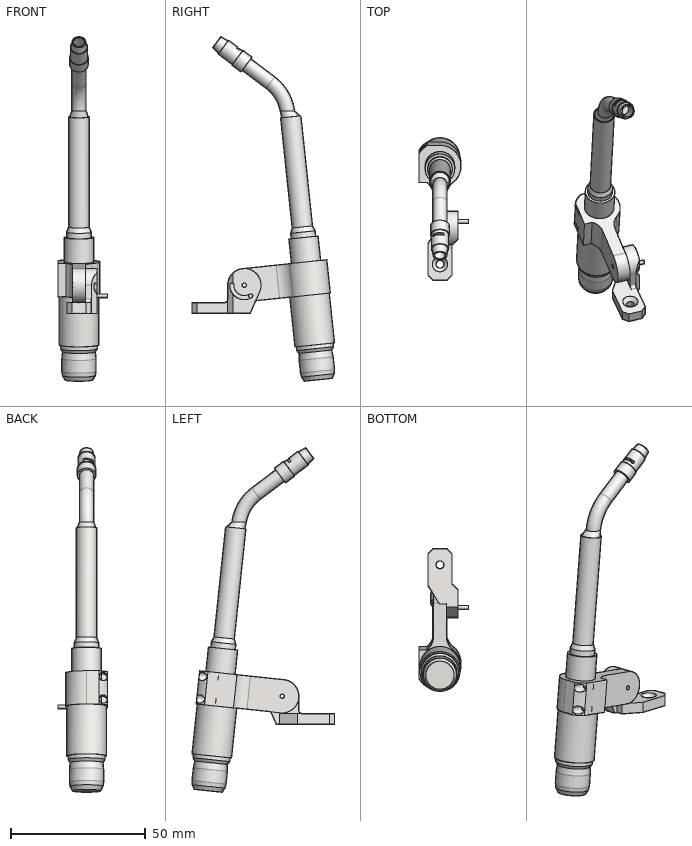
import cadquery as cq
import math

TILT = 6.0

CONNECTOR_LENGTH = 13.1
CONNECTOR_FOOT_RADIUS = 5.3
CONNECTOR_FOOT_HEIGHT = 1.7
CONNECTOR_NECK_RADIUS = 6.2
CONNECTOR_GRIP_BOTTOM = 3.2
CONNECTOR_GRIP_TOP = 8.0
CONNECTOR_GRIP_RADIUS = 6.4
CONNECTOR_CONE_BOTTOM = 10.5
CONNECTOR_FLANGE_BOTTOM = 11.7
CONNECTOR_FLANGE_RADIUS = 6.9

HANDLE_RADIUS = 7.5
HANDLE_WAIST_RADIUS = 5.5
HANDLE_TOP = 53.3

TUBE_RADIUS = 3.9
TUBE_TOP = 98.5
TUBE_COLLAR_RADIUS = 4.6
TUBE_COLLAR_TOP = 55.3
TUBE_CONE_TOP = 57.3

NECK_RADIUS = 2.7
NECK_FOOT_RADIUS = 3.5
NECK_TAPER_END = (-11.5, 100.1)
NECK_BEND_RADIUS = 16.3
NECK_BEND_END = (-17.8, 110.7)
NECK_END_ANGLE = 53.0
NECK_STRAIGHT_LENGTH = 11.2

NOZZLE_COLLAR_RADIUS = 3.5
NOZZLE_COLLAR_LENGTH = 4.2
NOZZLE_RADIUS = 3.2
NOZZLE_SHOULDER = 10.8
NOZZLE_TIP_BASE_RADIUS = 3.0
NOZZLE_TIP_RADIUS = 2.6
NOZZLE_LENGTH = 13.9
NOZZLE_BORE_RADIUS = 2.0
NOZZLE_BORE_DEPTH = 6.4
NOZZLE_SLOT_CENTRE = 6.0
NOZZLE_SLOT_WIDTH = 0.9
NOZZLE_SLOT_FLOOR = 1.8
NOZZLE_SLOT_END = 1.4

CLAMP_BOTTOM = 31.7
CLAMP_HEIGHT = 12.5
CLAMP_RADIUS = 7.8
CLAMP_CORNER_RADIUS = 9.1
CLAMP_FILLET = 6.4
ARM_THICKNESS = 4.7
PIVOT_REACH = 23.7
PIVOT_HOLE_RADIUS = 0.8
SCREW_HOLE_RADIUS = 1.5
SCREW_HOLE_X = -6.2
SCREW_HOLE_SPACING = 8.5
SCREW_HOLE_END = 0.6

EYE_THICKNESS = 4.4
EYE_CHAMFER = 2.0
EYE_FLANK_ANGLE = 23.6
FOOT_BOTTOM = 24.8
FOOT_THICKNESS = 4.0
FOOT_WIDTH = 9.0
FOOT_END = -47.1
FOOT_CORNER = 1.9
FOOT_BACK = -26.6
FOOT_BACK_CORNER_X = -0.3
FOOT_BACK_CORNER_LENGTH = 6.8
FOOT_STEP_FILLET = 1.3
FOOT_HOLE_Y = -41.1
FOOT_HOLE_RADIUS = 1.4
FOOT_SINK_RADIUS = 2.8

PIN_RADIUS = 0.8
PIN_END = 10.7
PIN_ORBIT = 4.6
PIN_ANGLE = 121.0

ARM_HALF = ARM_THICKNESS / 2
ARM_END_RADIUS = CLAMP_HEIGHT / 2
PIVOT_W = CLAMP_BOTTOM + ARM_END_RADIUS
TILT_SIN = math.sin(math.radians(TILT))
TILT_COS = math.cos(math.radians(TILT))
PIVOT_Y = -PIVOT_REACH * TILT_COS - PIVOT_W * TILT_SIN
PIVOT_Z = -PIVOT_REACH * TILT_SIN + PIVOT_W * TILT_COS
EYE_OUTER_X = ARM_HALF + EYE_THICKNESS
FOOT_TOP = FOOT_BOTTOM + FOOT_THICKNESS
NECK_END_DIRECTION = (-math.sin(math.radians(NECK_END_ANGLE)), math.cos(math.radians(NECK_END_ANGLE)))


def lean(body):
    """Tilt an upright body about the X axis."""
    return body.rotate((0, 0, 0), (1, 0, 0), TILT)


def revolve_profile(points):
    """Revolve a closed (radius, height) outline about Z."""
    return cq.Workplane("XZ").polyline(points).close().revolve(360, (0, 0), (0, 1))


def cylinder_along_x(radius, y, z, x_start, x_end):
    return cq.Workplane("YZ", origin=(x_start, y, z)).circle(radius).extrude(x_end - x_start)


def orbit_point(angle, radius=PIN_ORBIT):
    """Point (y, z) around the pivot; the angle runs from -Y downward."""
    turn = math.radians(angle)
    return (PIVOT_Y - radius * math.cos(turn), PIVOT_Z - radius * math.sin(turn))


def make_connector():
    return lean(revolve_profile([
        (0, 0),
        (CONNECTOR_FOOT_RADIUS, 0),
        (CONNECTOR_NECK_RADIUS, CONNECTOR_FOOT_HEIGHT),
        (CONNECTOR_GRIP_RADIUS, CONNECTOR_GRIP_BOTTOM),
        (CONNECTOR_GRIP_RADIUS, CONNECTOR_GRIP_TOP),
        (CONNECTOR_NECK_RADIUS, CONNECTOR_CONE_BOTTOM),
        (CONNECTOR_FLANGE_RADIUS, CONNECTOR_FLANGE_BOTTOM),
        (CONNECTOR_FLANGE_RADIUS, CONNECTOR_LENGTH),
        (0, CONNECTOR_LENGTH),
    ]))


def make_handle():
    return lean(revolve_profile([
        (0, CONNECTOR_LENGTH),
        (HANDLE_RADIUS, CONNECTOR_LENGTH),
        (HANDLE_RADIUS, CLAMP_BOTTOM),
        (HANDLE_WAIST_RADIUS, CLAMP_BOTTOM),
        (HANDLE_WAIST_RADIUS, HANDLE_TOP),
        (0, HANDLE_TOP),
    ]))


def make_tube():
    return lean(revolve_profile([
        (0, HANDLE_TOP),
        (TUBE_COLLAR_RADIUS, HANDLE_TOP),
        (TUBE_COLLAR_RADIUS, TUBE_COLLAR_TOP),
        (TUBE_RADIUS, TUBE_CONE_TOP),
        (TUBE_RADIUS, TUBE_TOP),
        (0, TUBE_TOP),
    ]))


def neck_end_plane(distance):
    """Plane square to the neck's straight end, this far past the bend; local Y points up and back."""
    y, z = NECK_BEND_END
    along_y, along_z = NECK_END_DIRECTION
    return cq.Plane(
        origin=(0, y + distance * along_y, z + distance * along_z),
        xDir=(1, 0, 0),
        normal=(0, along_y, along_z),
    )


def make_neck():
    foot_plane = cq.Plane(
        origin=(0, -TUBE_TOP * TILT_SIN, TUBE_TOP * TILT_COS),
        xDir=(1, 0, 0),
        normal=(0, -TILT_SIN, TILT_COS),
    )
    taper_y, taper_z = NECK_TAPER_END
    foot_wire = cq.Workplane(foot_plane).circle(NECK_FOOT_RADIUS).val()
    taper_wire = cq.Workplane("XY", origin=(0, taper_y, taper_z)).circle(NECK_RADIUS).val()
    taper = cq.Solid.makeLoft([foot_wire, taper_wire], True)

    bend = (
        cq.Workplane(neck_end_plane(0)).circle(NECK_RADIUS)
        .revolve(NECK_END_ANGLE, (0, -NECK_BEND_RADIUS), (-1, -NECK_BEND_RADIUS))
    )
    trim = cq.Workplane("XY", origin=(0, taper_y, taper_z)).rect(
        4 * NECK_RADIUS, 4 * NECK_RADIUS).extrude(-4 * NECK_RADIUS)
    bend = bend.cut(trim)
    straight = cq.Workplane(neck_end_plane(0)).circle(NECK_RADIUS).extrude(NECK_STRAIGHT_LENGTH)
    return bend.union(cq.Workplane(taper)).union(straight)


def make_nozzle():
    nozzle = revolve_profile([
        (0, 0),
        (NOZZLE_COLLAR_RADIUS, 0),
        (NOZZLE_COLLAR_RADIUS, NOZZLE_COLLAR_LENGTH),
        (NOZZLE_RADIUS, NOZZLE_COLLAR_LENGTH),
        (NOZZLE_RADIUS, NOZZLE_SHOULDER),
        (NOZZLE_TIP_BASE_RADIUS, NOZZLE_SHOULDER),
        (NOZZLE_TIP_RADIUS, NOZZLE_LENGTH),
        (NOZZLE_BORE_RADIUS, NOZZLE_LENGTH),
        (NOZZLE_BORE_RADIUS, NOZZLE_LENGTH - NOZZLE_BORE_DEPTH),
        (0, NOZZLE_LENGTH - NOZZLE_BORE_DEPTH),
    ])
    slot = cq.Workplane("XY").box(
        NOZZLE_RADIUS + NOZZLE_SLOT_END, NOZZLE_RADIUS, NOZZLE_SLOT_WIDTH, centered=(False, False, True)
    ).translate((-NOZZLE_RADIUS, NOZZLE_SLOT_FLOOR, NOZZLE_SLOT_CENTRE))
    placement = cq.Location(neck_end_plane(NECK_STRAIGHT_LENGTH))
    return cq.Workplane(nozzle.cut(slot).val().moved(placement))


def make_clamp():
    height_plane = cq.Workplane("XY", origin=(0, 0, CLAMP_BOTTOM))
    ring = height_plane.circle(CLAMP_RADIUS).extrude(CLAMP_HEIGHT)

    fillet_x = ARM_HALF + CLAMP_FILLET
    fillet_y = -math.sqrt((CLAMP_RADIUS + CLAMP_FILLET) ** 2 - fillet_x ** 2)
    ring_share = CLAMP_RADIUS / (CLAMP_RADIUS + CLAMP_FILLET)
    root_x = fillet_x * ring_share
    root_y = fillet_y * ring_share
    web = height_plane.center(0, fillet_y / 2).rect(2 * root_x, -fillet_y).extrude(CLAMP_HEIGHT)
    for side in (-1, 1):
        web = web.cut(
            height_plane.center(side * fillet_x, fillet_y).circle(CLAMP_FILLET).extrude(CLAMP_HEIGHT)
        )

    block = (
        height_plane.moveTo(-CLAMP_RADIUS, root_y)
        .lineTo(0, root_y)
        .lineTo(0, CLAMP_RADIUS)
        .lineTo(-CLAMP_RADIUS, CLAMP_RADIUS)
        .close().extrude(CLAMP_HEIGHT)
    )
    corner_round = height_plane.circle(CLAMP_CORNER_RADIUS).extrude(CLAMP_HEIGHT)
    front_half = height_plane.center(0, -CLAMP_RADIUS).rect(
        2 * CLAMP_RADIUS, 2 * CLAMP_RADIUS).extrude(CLAMP_HEIGHT)
    block = block.intersect(corner_round.union(front_half))

    arm = (
        cq.Workplane("YZ", origin=(-ARM_HALF, 0, 0))
        .moveTo(0, CLAMP_BOTTOM)
        .lineTo(-PIVOT_REACH, CLAMP_BOTTOM)
        .threePointArc((-PIVOT_REACH - ARM_END_RADIUS, PIVOT_W), (-PIVOT_REACH, CLAMP_BOTTOM + CLAMP_HEIGHT))
        .lineTo(0, CLAMP_BOTTOM + CLAMP_HEIGHT)
        .close().extrude(ARM_THICKNESS)
    )
    clamp = ring.union(block).union(web).union(arm)
    clamp = clamp.cut(height_plane.circle(HANDLE_WAIST_RADIUS).extrude(CLAMP_HEIGHT))
    clamp = clamp.cut(cylinder_along_x(PIVOT_HOLE_RADIUS, -PIVOT_REACH, PIVOT_W, -ARM_HALF, ARM_HALF))

    for side in (-1, 1):
        screw_z = PIVOT_W + side * SCREW_HOLE_SPACING / 2
        screw_hole = (
            cq.Workplane("XZ", origin=(SCREW_HOLE_X, SCREW_HOLE_END, screw_z))
            .circle(SCREW_HOLE_RADIUS).extrude(SCREW_HOLE_END - CLAMP_CORNER_RADIUS)
        )
        clamp = clamp.cut(screw_hole)

    clamp = lean(clamp)
    return clamp.cut(cylinder_along_x(PIN_RADIUS, *orbit_point(PIN_ANGLE), 0, ARM_HALF))


def make_eye():
    """Round eye whose flanks run down to the underside of the foot."""
    flank = math.radians(EYE_FLANK_ANGLE)
    back_y = PIVOT_Y + ARM_END_RADIUS * math.cos(flank)
    back_z = PIVOT_Z - ARM_END_RADIUS * math.sin(flank)
    heel_y = back_y - (back_z - FOOT_BOTTOM) * math.tan(flank)
    front_y = PIVOT_Y - ARM_END_RADIUS
    eye = (
        cq.Workplane("YZ", origin=(ARM_HALF, 0, 0))
        .moveTo(front_y, FOOT_BOTTOM)
        .lineTo(front_y, PIVOT_Z)
        .threePointArc((PIVOT_Y, PIVOT_Z + ARM_END_RADIUS), (back_y, back_z))
        .lineTo(heel_y, FOOT_BOTTOM)
        .close().extrude(EYE_THICKNESS)
    )
    corner = (
        cq.Workplane("XY", origin=(0, 0, FOOT_BOTTOM))
        .moveTo(EYE_OUTER_X, front_y)
        .lineTo(EYE_OUTER_X, front_y + EYE_CHAMFER)
        .lineTo(EYE_OUTER_X - EYE_CHAMFER, front_y)
        .close().extrude(2 * (PIVOT_Z - FOOT_BOTTOM) + ARM_END_RADIUS)
    )
    return eye.cut(corner)


def make_foot():
    half = FOOT_WIDTH / 2
    foot = (
        cq.Workplane("XY", origin=(0, 0, FOOT_BOTTOM))
        .moveTo(half, FOOT_BACK)
        .lineTo(half, FOOT_END + FOOT_CORNER)
        .lineTo(half - FOOT_CORNER, FOOT_END)
        .lineTo(FOOT_CORNER - half, FOOT_END)
        .lineTo(-half, FOOT_END + FOOT_CORNER)
        .lineTo(-half, FOOT_BACK - FOOT_BACK_CORNER_LENGTH)
        .lineTo(FOOT_BACK_CORNER_X, FOOT_BACK)
        .close().extrude(FOOT_THICKNESS)
    )
    sink_depth = FOOT_SINK_RADIUS - FOOT_HOLE_RADIUS
    hole = revolve_profile([
        (0, FOOT_BOTTOM),
        (FOOT_HOLE_RADIUS, FOOT_BOTTOM),
        (FOOT_HOLE_RADIUS, FOOT_TOP - sink_depth),
        (FOOT_SINK_RADIUS, FOOT_TOP),
        (0, FOOT_TOP),
    ]).translate((0, FOOT_HOLE_Y, 0))
    return foot.cut(hole)


def make_arc_slot():
    """Slot around the pivot, from straight ahead to the pin."""
    inner = PIN_ORBIT - PIN_RADIUS
    outer = PIN_ORBIT + PIN_RADIUS
    middle = PIN_ANGLE / 2
    slot = (
        cq.Workplane("YZ", origin=(ARM_HALF, 0, 0))
        .moveTo(*orbit_point(0, inner))
        .threePointArc(orbit_point(middle, inner), orbit_point(PIN_ANGLE, inner))
        .lineTo(*orbit_point(PIN_ANGLE, outer))
        .threePointArc(orbit_point(middle, outer), orbit_point(0, outer))
        .close().extrude(EYE_THICKNESS)
    )
    for angle in (0, PIN_ANGLE):
        slot = slot.union(cylinder_along_x(PIN_RADIUS, *orbit_point(angle), ARM_HALF, EYE_OUTER_X))
    return slot


def make_step_fillet():
    """Cove between the eye's front face and the top of the foot."""
    front_y = PIVOT_Y - ARM_END_RADIUS
    return (
        cq.Workplane("YZ", origin=(ARM_HALF, 0, 0))
        .moveTo(front_y, FOOT_TOP)
        .lineTo(front_y, FOOT_TOP + FOOT_STEP_FILLET)
        .radiusArc((front_y - FOOT_STEP_FILLET, FOOT_TOP), FOOT_STEP_FILLET)
        .close().extrude(FOOT_WIDTH / 2 - ARM_HALF)
    )


def make_bracket():
    bracket = make_eye().union(make_foot()).union(make_step_fillet()).cut(make_arc_slot())
    return bracket.cut(cylinder_along_x(PIVOT_HOLE_RADIUS, PIVOT_Y, PIVOT_Z, ARM_HALF, EYE_OUTER_X))


def make_pin():
    return cylinder_along_x(PIN_RADIUS, *orbit_point(PIN_ANGLE), 0, PIN_END)


connector = make_connector()
handle = make_handle()
tube = make_tube()
neck = make_neck()
nozzle = make_nozzle()
clamp = make_clamp()
bracket = make_bracket()
pin = make_pin()

result = cq.Compound.makeCompound([
    connector.solids().val(),
    handle.solids().val(),
    tube.solids().val(),
    neck.solids().val(),
    nozzle.solids().val(),
    clamp.solids().val(),
    bracket.solids().val(),
    pin.solids().val(),
])